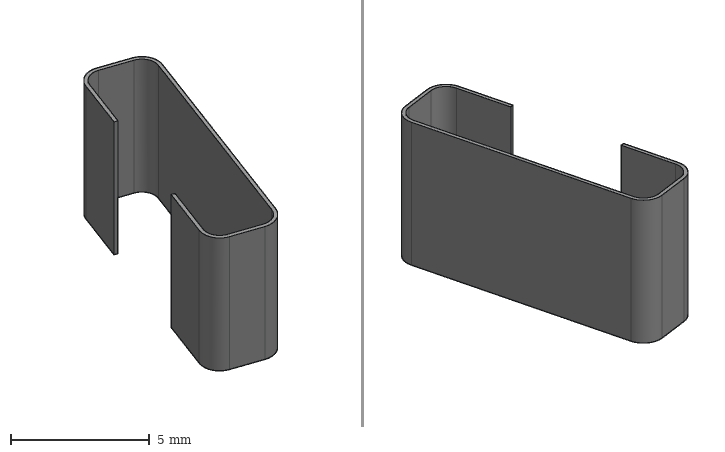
import cadquery as cq

length = 11.18
depth = 3.05
height = 6.01

thickness = 0.16
outer_radius = 0.82
mouth_width = 4.81

inner_radius = outer_radius - thickness


def rounded_prism(size_x, size_y, corner_radius):
    """Upright block with its four vertical edges rounded."""
    return cq.Workplane("XY").box(size_x, size_y, height).edges("|Z").fillet(corner_radius)


outer = rounded_prism(length, depth, outer_radius)
cavity = rounded_prism(length - 2 * thickness, depth - 2 * thickness, inner_radius)
tube = outer.cut(cavity)

mouth_depth = 2 * thickness
mouth = cq.Workplane("XY").box(mouth_width, mouth_depth, height).translate((0, -depth / 2, 0))

result = tube.cut(mouth)